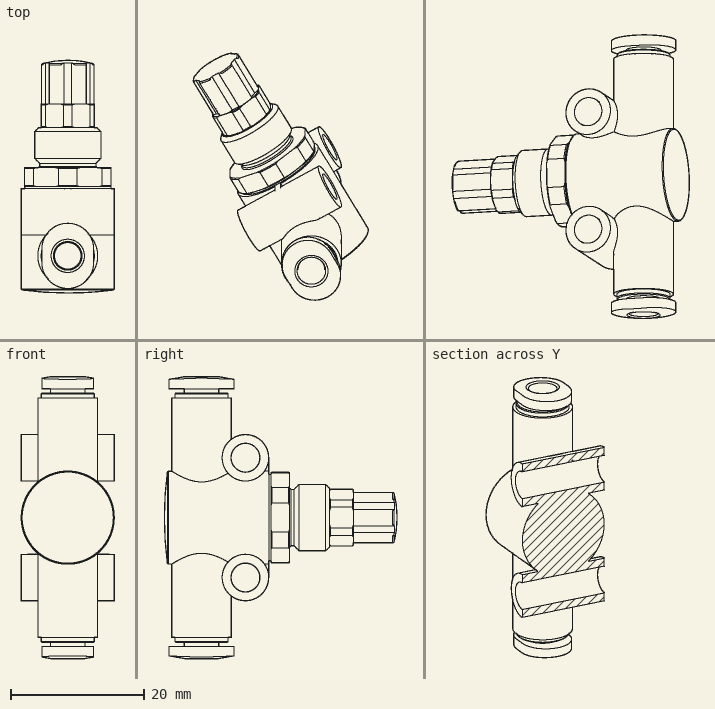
import cadquery as cq
import math


body_radius = 14 / 2
body_back_y = 10.1
body_rim_y = -5.15
body_apex_y = -5.6
body_rim_chamfer = 0.15

body_collar_radius = 13 / 2

nut_front_y = 10.4
nut_back_y = 13.25
nut_across_flats = 13
nut_corner_radius = 6.85
nut_chamfer = 0.15

neck_radius = 8.5 / 2
neck_flare = 0.2
cap_front_y = 14.65
cap_back_y = 19.25
cap_radius = 10 / 2
cap_front_chamfer = cap_radius - neck_radius
cap_back_chamfer = 0.6

knob_hex_end_y = 22.8
knob_hex_across_flats = 8
knob_hex_corner_radius = 4.3
knob_hex_chamfer = 0.15

grip_count = 6
grip_rim_y = 28.9
grip_apex_y = 29.4
panel_radius = 3.95
panel_half_angle = 15.5
panel_edge_fillet = 0.2
panel_end_chamfer_length = 0.2
panel_end_chamfer_depth = 0.15
rib_radius = 3.55
rib_half_angle = 9.3

port_radius = 9 / 2
port_end_z = 18
sleeve_radius = 8 / 2
sleeve_end_z = 18.75
sleeve_chamfer = 0.15
release_neck_radius = 5.2 / 2

release_bottom_z = 19.35
overall_height = 42.4
release_top_z = overall_height / 2
release_width = 7.8
release_length = 9.8
release_edge_drop = 0.42

bore_radius = 4 / 2
mouth_radius = 5 / 2
entry_radius = 4.3 / 2
mouth_depth = 0.2
entry_depth = 0.9

lug_radius = 7 / 2
lug_hole_radius = 4.3 / 2
lug_length = 2 * body_radius
lug_y = body_back_y - lug_radius
lug_z = 9
web_thickness = 1


def disc(radius, y_start, y_end):
    """Cylinder around the Y axis between two Y positions."""
    return cq.Workplane("XZ", origin=(0, y_start, 0)).circle(radius).extrude(y_start - y_end)


def arc_middle(rim_radius, rim_y, apex_y):
    """Point halfway along the arc that runs from a dome's rim to its apex on the Y axis."""
    sag = apex_y - rim_y
    sphere_radius = (rim_radius**2 + sag**2) / (2 * abs(sag))
    half_angle = math.asin(rim_radius / sphere_radius) / 2
    drop = math.copysign(sphere_radius * (1 - math.cos(half_angle)), sag)
    return (sphere_radius * math.sin(half_angle), apex_y - drop)


def spin_about_y(profile):
    """Full turn of a closed XY profile around the Y axis."""
    return profile.close().revolve(360, (0, 0, 0), (0, 1, 0))


def make_body():
    rim_radius = body_radius - body_rim_chamfer
    profile = (
        cq.Workplane("XY")
        .moveTo(0, body_back_y)
        .lineTo(body_radius, body_back_y)
        .lineTo(body_radius, body_rim_y + body_rim_chamfer)
        .lineTo(rim_radius, body_rim_y)
        .threePointArc(arc_middle(rim_radius, body_rim_y, body_apex_y), (0, body_apex_y))
    )
    return spin_about_y(profile)


def make_turned_hexagon(across_flats, corner_radius, chamfer, y_start, y_end):
    """Hexagonal prism along Y, flats facing X, its corners turned round and chamfered."""
    side_count = 6
    half_side_angle = 180 / side_count
    across_corners = across_flats / math.cos(math.radians(half_side_angle))
    prism = (
        cq.Workplane("XZ", origin=(0, y_start, 0))
        .transformed(rotate=(0, 0, half_side_angle))
        .polygon(side_count, across_corners)
        .extrude(y_start - y_end)
    )
    turned = disc(corner_radius, y_start, y_end).edges().chamfer(chamfer)
    return prism.intersect(turned)


def make_neck_and_cap():
    neck_end_y = cap_front_y - cap_front_chamfer
    profile = (
        cq.Workplane("XY")
        .moveTo(0, nut_back_y)
        .lineTo(neck_radius + neck_flare, nut_back_y)
        .lineTo(neck_radius, nut_back_y + neck_flare)
        .lineTo(neck_radius, neck_end_y)
        .lineTo(cap_radius, cap_front_y)
        .lineTo(cap_radius, cap_back_y - cap_back_chamfer)
        .lineTo(cap_radius - cap_back_chamfer, cap_back_y)
        .lineTo(0, cap_back_y)
    )
    return spin_about_y(profile)


def polar_point(radius, degrees):
    angle = math.radians(degrees)
    return (radius * math.cos(angle), radius * math.sin(angle))


def is_panel_edge(edge):
    """True for a grip edge that is nearer the panel radius than the rib radius."""
    center = edge.Center()
    return math.hypot(center.x, center.z) > (panel_radius + rib_radius) / 2


def make_grip():
    """Knob end: the panel-and-rib section trimmed by a chamfered and domed envelope."""
    pitch = 360 / grip_count
    section = cq.Workplane("XZ", origin=(0, knob_hex_end_y, 0))
    section = section.moveTo(*polar_point(panel_radius, -panel_half_angle))
    for index in range(grip_count):
        panel = index * pitch
        rib = panel + pitch / 2
        panel_end = polar_point(panel_radius, panel + panel_half_angle)
        section = section.threePointArc(polar_point(panel_radius, panel), panel_end)
        section = section.lineTo(*polar_point(rib_radius, rib - rib_half_angle))
        rib_end = polar_point(rib_radius, rib + rib_half_angle)
        section = section.threePointArc(polar_point(rib_radius, rib), rib_end)
        if index < grip_count - 1:
            section = section.lineTo(*polar_point(panel_radius, panel + pitch - panel_half_angle))
    grip = section.close().extrude(knob_hex_end_y - grip_apex_y)
    grip = grip.edges("|Y").filter(is_panel_edge).fillet(panel_edge_fillet)

    rim_radius = panel_radius - panel_end_chamfer_depth
    envelope = (
        cq.Workplane("XY")
        .moveTo(0, knob_hex_end_y)
        .lineTo(panel_radius, knob_hex_end_y)
        .lineTo(panel_radius, grip_rim_y - panel_end_chamfer_length)
        .lineTo(rim_radius, grip_rim_y)
        .threePointArc(arc_middle(rim_radius, grip_rim_y, grip_apex_y), (0, grip_apex_y))
    )
    return grip.intersect(spin_about_y(envelope))


def make_release_collar():
    """Obround collar whose outer face slopes down from the mouth of the bore."""
    tip_radius = release_length / 2
    obround = (
        cq.Workplane("XY", origin=(0, 0, release_bottom_z))
        .slot2D(release_length, release_width, 90)
        .extrude(release_top_z - release_bottom_z)
    )
    envelope = (
        cq.Workplane("XZ")
        .moveTo(0, release_bottom_z)
        .lineTo(tip_radius, release_bottom_z)
        .lineTo(tip_radius, release_top_z - release_edge_drop)
        .lineTo(mouth_radius, release_top_z)
        .lineTo(0, release_top_z)
        .close()
        .revolve(360, (0, 0, 0), (0, 1, 0))
    )
    return obround.intersect(envelope)


def make_port():
    """Upper tube port: barrel, sleeve, thin neck and release collar."""
    barrel = cq.Workplane("XY").circle(port_radius).extrude(port_end_z)
    sleeve = (
        cq.Workplane("XY")
        .circle(sleeve_radius)
        .extrude(sleeve_end_z)
        .faces(">Z")
        .chamfer(sleeve_chamfer)
    )
    neck = cq.Workplane("XY").circle(release_neck_radius).extrude(release_bottom_z)
    return barrel.union(sleeve).union(neck).union(make_release_collar())


def make_bore():
    """Upper half of the bore, from the middle of the body to the mouth."""
    return (
        cq.Workplane("XZ")
        .moveTo(0, 0)
        .lineTo(bore_radius, 0)
        .lineTo(bore_radius, release_top_z - entry_depth)
        .lineTo(entry_radius, release_top_z - mouth_depth)
        .lineTo(mouth_radius, release_top_z)
        .lineTo(0, release_top_z)
        .close()
        .revolve(360, (0, 0, 0), (0, 1, 0))
    )


def cross_cylinder(radius):
    """Cylinder along X on the axis of the upper lug."""
    return (
        cq.Workplane("YZ", origin=(-lug_length / 2, 0, 0))
        .center(lug_y, lug_z)
        .circle(radius)
        .extrude(lug_length)
    )


def make_lug():
    """Upper cross tube, with the thin web that fills its back corner against the body."""
    web = cq.Workplane("XY").box(web_thickness, lug_radius, lug_z, centered=(True, False, False))
    return cross_cylinder(lug_radius).union(web.translate((0, lug_y, 0)))


def with_lower_twin(shape):
    """The upper shape together with its mirror image below the XY plane."""
    return shape.union(shape.mirror("XY"))


nut = make_turned_hexagon(nut_across_flats, nut_corner_radius, nut_chamfer, nut_front_y, nut_back_y)
knob_hex = make_turned_hexagon(
    knob_hex_across_flats, knob_hex_corner_radius, knob_hex_chamfer, cap_back_y, knob_hex_end_y
)

result = (
    make_body()
    .union(disc(body_collar_radius, body_back_y, nut_front_y))
    .union(nut)
    .union(make_neck_and_cap())
    .union(knob_hex)
    .union(make_grip())
    .union(with_lower_twin(make_port()))
    .union(with_lower_twin(make_lug()))
    .cut(with_lower_twin(make_bore()))
    .cut(with_lower_twin(cross_cylinder(lug_hole_radius)))
)